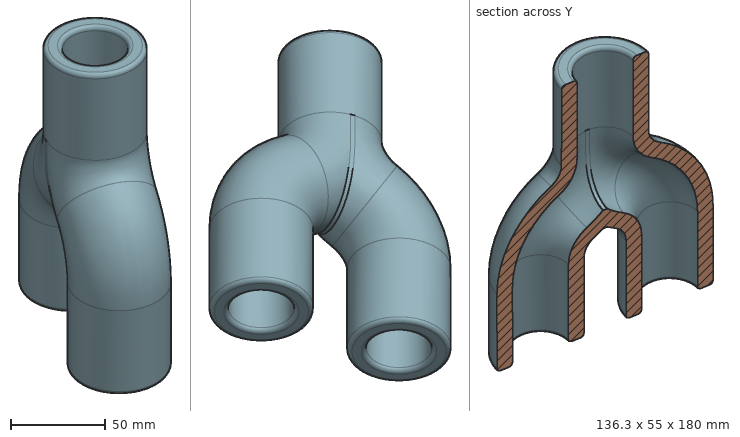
import cadquery as cq
import math

height = 180.0
outer_diameter = 55.0
bore_diameter = 35.0
overall_width = 136.3
stem_length = 55.0
bend_angle = 60.0
seam_width = 2.5
rim_radius = 2.5

leg_offset = (overall_width - outer_diameter) / 2

bend_radius = leg_offset / (2 * (1 - math.cos(math.radians(bend_angle))))
stem_base = height - stem_length
bend_drop = bend_radius * math.sin(math.radians(bend_angle))
leg_top = stem_base - 2 * bend_drop


def bend_path():
    """S-shaped pipe axis from the stem to the leg on the +X side."""
    half_angle = math.radians(bend_angle / 2)
    arc_shift = bend_radius * (1 - math.cos(half_angle))
    arc_drop = bend_radius * math.sin(half_angle)
    return (
        cq.Workplane("XZ")
        .moveTo(0, stem_base)
        .threePointArc(
            (arc_shift, stem_base - arc_drop),
            (leg_offset / 2, stem_base - bend_drop),
        )
        .threePointArc(
            (leg_offset - arc_shift, leg_top + arc_drop),
            (leg_offset, leg_top),
        )
    )


def joined_bends(radius):
    """Two mirrored S-bends, trimmed beside the seam and joined by a thin web.

    The web keeps the profile that the bends have where they are trimmed.
    """
    half_space = (
        cq.Workplane("XY", origin=(seam_width / 2, 0, 0))
        .box(height, height, height, centered=(False, True, False))
    )
    full_bend = cq.Workplane("XY", origin=(0, 0, stem_base)).circle(radius).sweep(bend_path())
    bend = full_bend.intersect(half_space)
    web = bend.faces("<X").wires().toPending().workplane().extrude(seam_width, combine=False)
    return bend.union(web).union(bend.mirror("YZ"))


def branched_body(diameter):
    """Solid Y-shape of one diameter: a stem, two S-bends and two legs."""
    radius = diameter / 2
    stem = cq.Workplane("XY", origin=(0, 0, stem_base)).circle(radius).extrude(stem_length)
    leg_places = [(-leg_offset, 0), (leg_offset, 0)]
    legs = cq.Workplane("XY").pushPoints(leg_places).circle(radius).extrude(leg_top)
    return joined_bends(radius).union(stem).union(legs)


pipe = branched_body(outer_diameter).cut(branched_body(bore_diameter))

result = pipe.faces("<Z or >Z").edges().fillet(rim_radius)